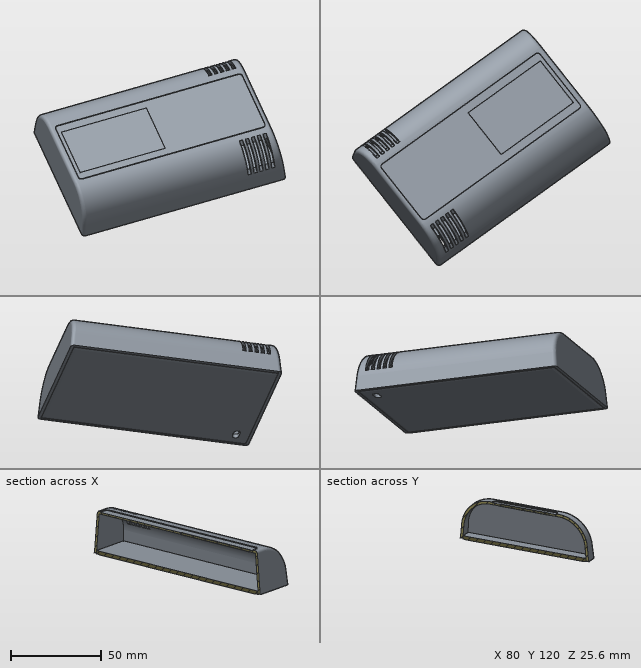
import cadquery as cq
import math

length = 120.0
width = 80.0
housing_height = 25.0
draft_angle = 5.0
shoulder_radius = 18.0
end_fillet = 2.0
wall = 1.8

recess_width = 40.0
recess_length = 109.8
recess_depth = 0.5
recess_y = 0.4
recess_corner_radius = 1.8
window_width = 30.4
window_length = 50.0
window_margin = 2.2

vent_count = 5
vent_pitch = 3.5
vent_width = 1.8
vent_middle_y = 45.8
vent_inner_x = 24.5
vent_bottom_z = 11.4
vent_floor_radius = 60.0

base_thickness = 1.8
base_drop = 0.6
base_edge_height = 0.2
base_bevel_width = 1.8
mount_slot_length = 7.2
mount_slot_width = 3.6
mount_slot_x = -28.9
mount_slot_y = 50.6

draft = math.radians(draft_angle)
shoulder_center_z = housing_height - shoulder_radius
shoulder_center_x = (
    width / 2 - shoulder_center_z * math.tan(draft) - shoulder_radius / math.cos(draft)
)


def arched_block(offset):
    """Drafted block under the arched outline, moved inward by offset; its bottom stays at z = 0."""
    radius = shoulder_radius - offset
    top = housing_height - offset
    side_offset = offset / math.cos(draft)
    half_width = width / 2 - side_offset
    half_length = length / 2 - side_offset
    tangent_x = shoulder_center_x + radius * math.cos(draft)
    tangent_z = shoulder_center_z + radius * math.sin(draft)
    mid_angle = (math.pi / 2 + draft) / 2
    mid_x = shoulder_center_x + radius * math.cos(mid_angle)
    mid_z = shoulder_center_z + radius * math.sin(mid_angle)
    arch = (
        cq.Workplane("XZ")
        .moveTo(-half_width, 0)
        .lineTo(half_width, 0)
        .lineTo(tangent_x, tangent_z)
        .threePointArc((mid_x, mid_z), (shoulder_center_x, top))
        .lineTo(-shoulder_center_x, top)
        .threePointArc((-mid_x, mid_z), (-tangent_x, tangent_z))
        .close()
        .extrude(length / 2, both=True)
    )
    top_half_length = half_length - top * math.tan(draft)
    ends = (
        cq.Workplane("YZ")
        .polyline([
            (-half_length, 0),
            (half_length, 0),
            (top_half_length, top),
            (-top_half_length, top),
        ])
        .close()
        .extrude(width / 2, both=True)
    )
    return arch.intersect(ends)


def vent_cutter(side, y):
    """Slot cutter on one shoulder (side is -1 or 1); its floor is a shallow concave arc."""
    inner_x = vent_inner_x
    inner_z = shoulder_center_z + math.sqrt(shoulder_radius**2 - (inner_x - shoulder_center_x) ** 2)
    outer_z = vent_bottom_z
    outer_x = shoulder_center_x + math.sqrt(shoulder_radius**2 - (outer_z - shoulder_center_z) ** 2)
    chord_x = outer_x - inner_x
    chord_z = outer_z - inner_z
    chord = math.hypot(chord_x, chord_z)
    sagitta = vent_floor_radius - math.sqrt(vent_floor_radius**2 - (chord / 2) ** 2)
    floor_x = (inner_x + outer_x) / 2 + sagitta * chord_z / chord
    floor_z = (inner_z + outer_z) / 2 - sagitta * chord_x / chord
    return (
        cq.Workplane("XZ", origin=(0, y, 0))
        .moveTo(side * inner_x, inner_z)
        .threePointArc((side * floor_x, floor_z), (side * outer_x, outer_z))
        .lineTo(side * width / 2, outer_z)
        .lineTo(side * width / 2, housing_height)
        .lineTo(side * inner_x, housing_height)
        .close()
        .extrude(vent_width / 2, both=True)
    )


recess_floor_z = housing_height - recess_depth
ceiling_z = housing_height - wall
window_y = recess_y - recess_length / 2 + window_margin + window_length / 2


def make_window():
    return (
        cq.Workplane("XY", origin=(0, window_y, ceiling_z))
        .rect(window_width, window_length)
        .extrude(recess_floor_z - ceiling_z)
    )


def make_housing():
    outside = arched_block(0).faces("<Y or >Y").edges("not <Z").fillet(end_fillet)
    shell = outside.cut(arched_block(wall))
    recess = (
        cq.Workplane("XY", origin=(0, recess_y, recess_floor_z))
        .rect(recess_width, recess_length)
        .extrude(recess_depth)
        .edges("|Z")
        .fillet(recess_corner_radius)
    )
    shell = shell.cut(recess).cut(make_window())
    for side in (-1, 1):
        for index in range(vent_count):
            y = vent_middle_y + (index - (vent_count - 1) / 2) * vent_pitch
            shell = shell.cut(vent_cutter(side, y))
    return shell


def make_base():
    """Plate that fills the housing opening and stands slightly below it, with a beveled lower edge."""
    inside = arched_block(wall)
    upper = inside.intersect(
        cq.Workplane("XY").box(width, length, base_thickness, centered=(True, True, False))
    )
    opening_width = width - 2 * wall / math.cos(draft)
    opening_length = length - 2 * wall / math.cos(draft)
    edge_band = cq.Workplane("XY").rect(opening_width, opening_length).extrude(-base_edge_height)
    bevel = (
        edge_band.faces("<Z")
        .workplane()
        .rect(opening_width, opening_length)
        .workplane(offset=base_drop - base_edge_height)
        .rect(opening_width - 2 * base_bevel_width, opening_length - 2 * base_bevel_width)
        .loft(ruled=True, combine=False)
    )
    mount_slot = (
        cq.Workplane("XY", origin=(mount_slot_x, mount_slot_y, -base_drop))
        .slot2D(mount_slot_length, mount_slot_width)
        .extrude(base_drop + base_thickness)
    )
    return upper.union(edge_band).union(bevel).cut(mount_slot)


housing = make_housing()
window = make_window()
base = make_base()

result = cq.Compound.makeCompound([housing.val(), window.val(), base.val()])